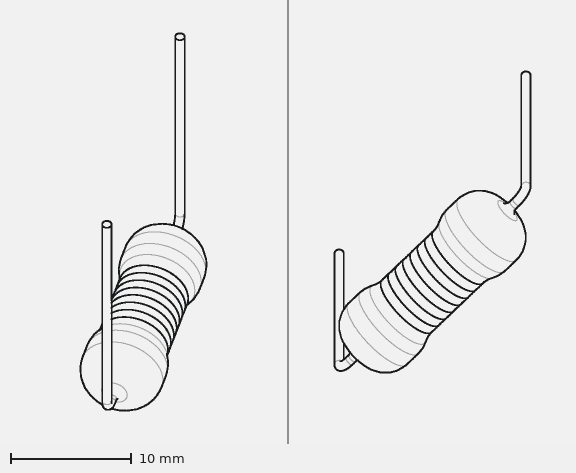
import cadquery as cq
import math


cap_radius = 7.0 / 2
core_radius = 5.95 / 2
band_radius = 5.97 / 2
body_half_length = 9.0
cap_round_radius = 2.4
cap_straight_end = body_half_length - cap_round_radius
cap_straight_length = 1.4

section_count = 7
section_width = 0.885
core_half_length = section_count * section_width / 2

lead_radius = 0.8 / 2
overall_width = 23.3
overall_height = 25.6
lead_axis_y = overall_width / 2 - lead_radius
lead_top = overall_height - cap_radius
bend_radius = 1.2
lead_overlap = 0.5

flare_base_radius = cap_radius - cap_round_radius
lead_flare_radius = flare_base_radius - lead_radius

diagonal = math.sqrt(0.5)


def make_body_end():
    """Domed +Y end cap, blended into the core by an S-shaped neck and flaring into the lead."""
    cap_straight_start = cap_straight_end - cap_straight_length
    neck_middle = ((core_radius + cap_radius) / 2, (core_half_length + cap_straight_start) / 2)
    flare_end = body_half_length + lead_flare_radius
    dome_middle = (
        flare_base_radius + cap_round_radius * diagonal,
        cap_straight_end + cap_round_radius * diagonal,
    )
    flare_middle = (
        lead_radius + lead_flare_radius * (1 - diagonal),
        flare_end - lead_flare_radius * diagonal,
    )
    end_profile = (
        cq.Workplane("XY")
        .moveTo(0, flare_end)
        .lineTo(lead_radius, flare_end)
        .threePointArc(flare_middle, (flare_base_radius, body_half_length))
        .threePointArc(dome_middle, (cap_radius, cap_straight_end))
        .lineTo(cap_radius, cap_straight_start)
        .tangentArcPoint(neck_middle, relative=False)
        .tangentArcPoint((core_radius, core_half_length), relative=False)
        .lineTo(0, core_half_length)
    )
    return end_profile.close().revolve(360, (0, 0, 0), (0, 1, 0))


def make_core_section(index):
    """One cylindrical section of the core; even sections are raised colour bands."""
    radius = band_radius if index % 2 == 0 else core_radius
    start_y = index * section_width - core_half_length
    section = cq.Workplane("XZ", origin=(0, start_y, 0)).circle(radius)
    return section.extrude(-section_width)


def make_lead():
    """Round wire leaving the +Y end of the body and bending up to vertical."""
    lead_start = body_half_length - lead_overlap
    bend_start = lead_axis_y - bend_radius
    path = (
        cq.Workplane("YZ")
        .moveTo(lead_start, 0)
        .lineTo(bend_start, 0)
        .tangentArcPoint((lead_axis_y, bend_radius), relative=False)
        .lineTo(lead_axis_y, lead_top)
    )
    section = cq.Workplane("XZ", origin=(0, lead_start, 0)).circle(lead_radius)
    return section.sweep(path)


body_end = make_body_end().union(make_lead())
result = body_end.union(body_end.mirror("XZ"))
for section_index in range(section_count):
    result = result.union(make_core_section(section_index))